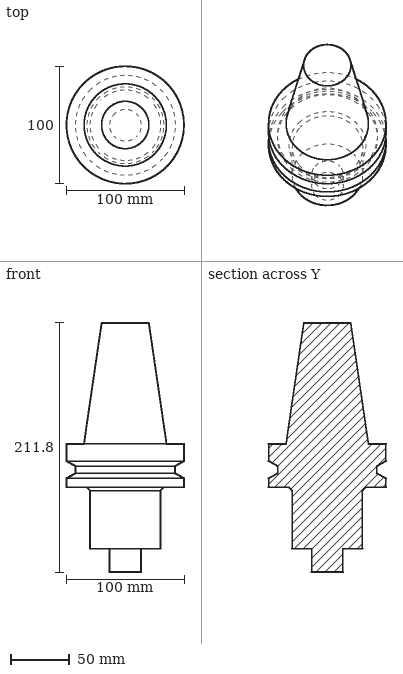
import cadquery as cq

taper_small_diameter = 40.2
gauge_diameter = 69.9
flange_diameter = 100.0
groove_diameter = 85.0
collar_diameter = 65.2
body_diameter = 60.0
pilot_diameter = 27.0

total_length = 211.8
pilot_length = 20.0
body_length = 52.0
flange_thickness = 37.0
lower_rim_thickness = 7.8
upper_rim_thickness = 14.8
groove_floor_width = 6.1
gauge_land_length = 1.5

flange_bottom = pilot_length + body_length
flange_top = flange_bottom + flange_thickness
lower_rim_top = flange_bottom + lower_rim_thickness
upper_rim_bottom = flange_top - upper_rim_thickness
groove_middle = (lower_rim_top + upper_rim_bottom) / 2
groove_floor_bottom = groove_middle - groove_floor_width / 2
groove_floor_top = groove_middle + groove_floor_width / 2
taper_bottom = flange_top + gauge_land_length
collar_bottom = flange_bottom - (collar_diameter - body_diameter) / 2

section = [
    (0, 0),
    (pilot_diameter, 0),
    (pilot_diameter, pilot_length),
    (body_diameter, pilot_length),
    (body_diameter, collar_bottom),
    (collar_diameter, flange_bottom),
    (flange_diameter, flange_bottom),
    (flange_diameter, lower_rim_top),
    (groove_diameter, groove_floor_bottom),
    (groove_diameter, groove_floor_top),
    (flange_diameter, upper_rim_bottom),
    (flange_diameter, flange_top),
    (gauge_diameter, flange_top),
    (gauge_diameter, taper_bottom),
    (taper_small_diameter, total_length),
    (0, total_length),
]

result = (
    cq.Workplane("XZ")
    .polyline([(diameter / 2, height) for diameter, height in section])
    .close()
    .revolve(360, (0, 0, 0), (0, 1, 0))
)